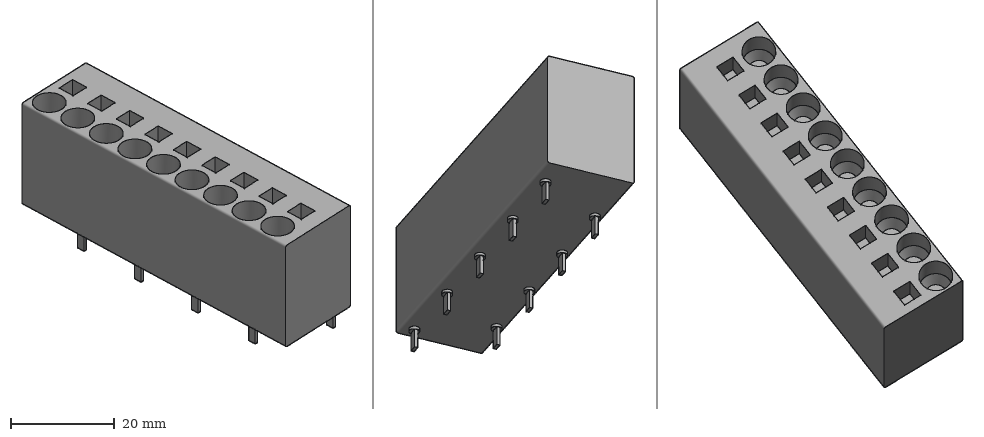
import cadquery as cq
import math

OVERALL_HEIGHT = 28.75

POLE_COUNT = 9
PITCH = 7.5

HOUSING_LENGTH = 69.3
HOUSING_WIDTH = 18.5
HOUSING_HEIGHT = 24.15
EDGE_RADIUS = 0.5
HOUSING_START_X = -HOUSING_LENGTH / 2
HOUSING_FRONT_Y = -HOUSING_WIDTH / 2

FIRST_OPENING_X = HOUSING_START_X + PITCH / 2
FUNNEL_DIAMETER = 6.5
FUNNEL_THROAT_DIAMETER = 4.0
FUNNEL_BORE_DEPTH = 5.0
FUNNEL_WALL_ANGLE = 60.0
FUNNEL_STEP = (FUNNEL_DIAMETER - FUNNEL_THROAT_DIAMETER) / 2
FUNNEL_CONE_DEPTH = FUNNEL_STEP * math.tan(math.radians(FUNNEL_WALL_ANGLE))
FUNNEL_Y = HOUSING_FRONT_Y + EDGE_RADIUS + FUNNEL_DIAMETER / 2

SLOT_Y = 1.2
SLOT_LENGTH = 3.7
SLOT_WIDTH = 3.8
SLOT_DEPTH = 5.0

PIN_OFFSET_X = 2.8
FIRST_PIN_X = FIRST_OPENING_X + PIN_OFFSET_X
ROW_SPACING = 14.0
REAR_ROW_Y = 6.63
FRONT_ROW_Y = REAR_ROW_Y - ROW_SPACING
PIN_WIDTH = 1.75
PIN_THICKNESS = 0.7
PIN_LENGTH = OVERALL_HEIGHT - HOUSING_HEIGHT
COLLAR_DIAMETER = 2.1
COLLAR_HEIGHT = 0.6


def funnel_cutter(x):
    """Wire entry: a straight bore that ends in a cone narrowing to a flat floor."""
    bore_radius = FUNNEL_DIAMETER / 2
    throat_radius = FUNNEL_THROAT_DIAMETER / 2
    cone_top = HOUSING_HEIGHT - FUNNEL_BORE_DEPTH
    floor = cone_top - FUNNEL_CONE_DEPTH
    return (
        cq.Workplane("XZ")
        .moveTo(0, floor)
        .lineTo(throat_radius, floor)
        .lineTo(bore_radius, cone_top)
        .lineTo(bore_radius, HOUSING_HEIGHT)
        .lineTo(0, HOUSING_HEIGHT)
        .close()
        .revolve(360, (0, 0, 0), (0, 1, 0))
        .translate((x, FUNNEL_Y, 0))
    )


def slot_cutter(x):
    """Rectangular blind opening behind each wire entry."""
    return (
        cq.Workplane("XY", origin=(x, SLOT_Y, HOUSING_HEIGHT))
        .rect(SLOT_LENGTH, SLOT_WIDTH)
        .extrude(-SLOT_DEPTH)
    )


def make_housing():
    """Block with rounded lengthwise edges and one pair of openings per pole."""
    housing = (
        cq.Workplane("XY")
        .box(HOUSING_LENGTH, HOUSING_WIDTH, HOUSING_HEIGHT, centered=(True, True, False))
        .edges("|X")
        .fillet(EDGE_RADIUS)
    )
    for pole in range(POLE_COUNT):
        x = FIRST_OPENING_X + pole * PITCH
        housing = housing.cut(funnel_cutter(x)).cut(slot_cutter(x))
    return housing


def make_pin(x, y):
    """Flat solder pin hanging from a round collar that touches the underside."""
    collar = (
        cq.Workplane("XY", origin=(x, y, 0))
        .circle(COLLAR_DIAMETER / 2)
        .extrude(-COLLAR_HEIGHT)
    )
    blade = (
        cq.Workplane("XY", origin=(x, y, 0))
        .rect(PIN_WIDTH, PIN_THICKNESS)
        .extrude(-PIN_LENGTH)
    )
    return collar.union(blade)


housing = make_housing()

pins = []
for pole in range(POLE_COUNT):
    row_y = REAR_ROW_Y if pole % 2 == 0 else FRONT_ROW_Y
    pins.append(make_pin(FIRST_PIN_X + pole * PITCH, row_y))

result = cq.Compound.makeCompound([housing.val(), *[pin.val() for pin in pins]])